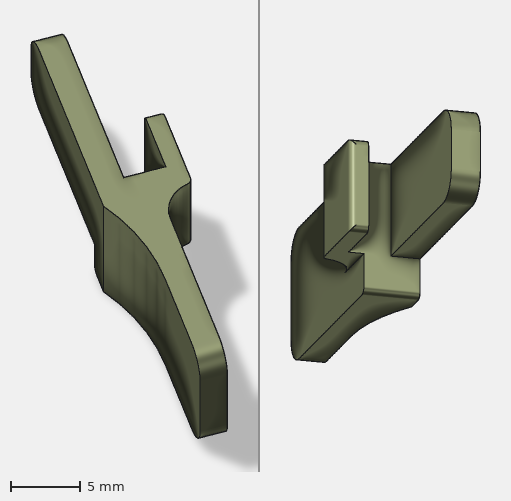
import cadquery as cq
import math

length = 33.0
depth = 6.8
height = 10.0

arm_thickness = 2.2
blade_front = 2.18
blade_back = 4.25
hook_thickness = 1.4
hook_tip_x = 9.95
slot_end_x = 14.95
front_bend_x = 17.03
blade_start_x = 24.8
back_curve_end_x = 19.6
back_curve_radius = 2.7

step_z = 3.0
end_radius = 2.0
small_radius = 0.5


def point_on_circle(center, radius, angle):
    """Point at an angle, in radians, on a circle in the plan."""
    return (
        center[0] + radius * math.cos(angle),
        center[1] + radius * math.sin(angle),
    )


def plan_body():
    """Full-height extrusion of the arm, hook and blade plan outline."""
    front_run = blade_start_x - front_bend_x
    front_radius = (front_run**2 + blade_front**2) / (2 * blade_front)
    front_center = (blade_start_x, blade_front - front_radius)
    front_half_angle = math.asin(front_run / front_radius) / 2
    front_mid = point_on_circle(front_center, front_radius, math.pi / 2 + front_half_angle)

    curve_center = (back_curve_end_x, blade_back + back_curve_radius)
    corner_y = depth - small_radius
    blend_angle = math.asin((curve_center[1] - corner_y) / (back_curve_radius + small_radius))
    corner_x = back_curve_end_x - (back_curve_radius + small_radius) * math.cos(blend_angle)
    corner_center = (corner_x, corner_y)
    corner_mid = point_on_circle(corner_center, small_radius, (math.pi / 2 + blend_angle) / 2)
    back_start = point_on_circle(corner_center, small_radius, blend_angle)
    back_mid_angle = math.pi + (blend_angle + math.pi / 2) / 2
    back_mid = point_on_circle(curve_center, back_curve_radius, back_mid_angle)

    body = (
        cq.Workplane("XY")
        .moveTo(0, 0)
        .lineTo(front_bend_x, 0)
        .threePointArc(front_mid, (blade_start_x, blade_front))
        .lineTo(length, blade_front)
        .lineTo(length, blade_back)
        .lineTo(back_curve_end_x, blade_back)
        .threePointArc(back_mid, back_start)
        .threePointArc(corner_mid, (corner_x, depth))
        .lineTo(hook_tip_x, depth)
        .lineTo(hook_tip_x, depth - hook_thickness)
        .lineTo(slot_end_x, depth - hook_thickness)
        .lineTo(slot_end_x, arm_thickness)
        .lineTo(0, arm_thickness)
        .close()
        .extrude(height)
    )
    hook_tip = cq.selectors.NearestToPointSelector((hook_tip_x, depth, height / 2))
    return body.edges(hook_tip).fillet(small_radius)


def block(x_start, x_end, y_start, y_end, z_start):
    """Box from z_start up to the top of the part."""
    size = (x_end - x_start, y_end - y_start, height - z_start)
    return cq.Workplane("XY").box(*size, centered=False).translate((x_start, y_start, z_start))


def front_envelope():
    """Rounded elevation of the arm and the taller blade."""
    arm = block(0, length / 2, 0, blade_back, step_z).edges("|Y and <X").fillet(end_radius)
    blade = block(slot_end_x, length, 0, blade_back, 0)
    blade = blade.edges("|Y and >X").fillet(end_radius)
    blade = blade.edges("|Y and <X and <Z").fillet(small_radius)
    return arm.union(blade)


def hook_envelope():
    """Elevation of the hook, rounded above and below its tip."""
    hook = block(hook_tip_x, length, blade_back, depth, step_z)
    return hook.edges("|Y and <X").fillet(small_radius)


result = plan_body().intersect(front_envelope().union(hook_envelope()))